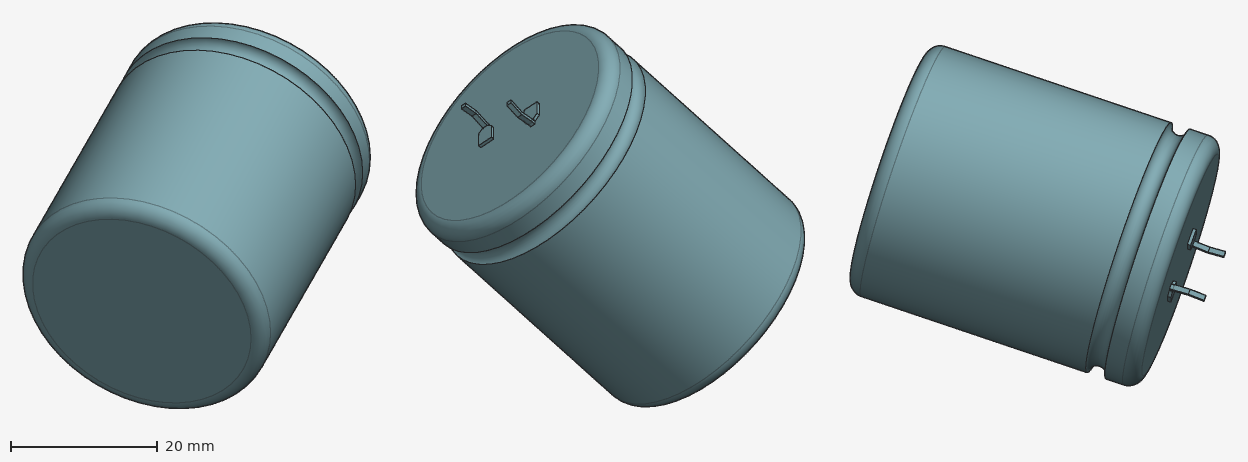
import cadquery as cq

can_diameter = 36.0
overall_length = 47.0
lead_length = 5.0
can_length = overall_length - lead_length
can_radius = can_diameter / 2
edge_radius = 2.05

groove_radius = 1.35
groove_position = 6.0

terminal_x = 4.1
pad_width = 2.35
pad_thickness = 0.45
pad_inner_z = -0.55
pad_outer_z = 2.6
pad_chamfer = 0.7

lead_width = 0.75
lead_thickness = 0.6
lead_end_z = 2.85
lead_bend_z = 3.35
lead_bend_y = (pad_thickness + lead_length) / 2

embed_depth = 0.25


def make_can():
    can = cq.Workplane("XZ").circle(can_radius).extrude(can_length)
    can = can.edges().fillet(edge_radius)
    groove = (
        cq.Workplane("XY")
        .center(can_radius, -groove_position)
        .circle(groove_radius)
        .revolve(360, (-can_radius, 0), (-can_radius, 1))
    )
    return can.cut(groove)


def make_pad():
    return (
        cq.Workplane("XY")
        .box(
            pad_width,
            pad_thickness + embed_depth,
            pad_outer_z - pad_inner_z,
            centered=(True, False, False),
        )
        .edges("|Y and >Z")
        .chamfer(pad_chamfer)
        .translate((terminal_x, -embed_depth, pad_inner_z))
    )


def make_lead():
    half = lead_thickness / 2
    return (
        cq.Workplane("YZ", origin=(terminal_x, 0, 0))
        .moveTo(-embed_depth, lead_end_z - half)
        .lineTo(pad_thickness, lead_end_z - half)
        .lineTo(lead_bend_y, lead_bend_z - half)
        .lineTo(lead_length, lead_end_z - half)
        .lineTo(lead_length, lead_end_z + half)
        .lineTo(lead_bend_y, lead_bend_z + half)
        .lineTo(pad_thickness, lead_end_z + half)
        .lineTo(-embed_depth, lead_end_z + half)
        .close()
        .extrude(lead_width / 2, both=True)
    )


terminal = make_pad().union(make_lead())
opposite_terminal = terminal.rotate((0, 0, 0), (0, 1, 0), 180)

result = make_can().union(terminal).union(opposite_terminal)